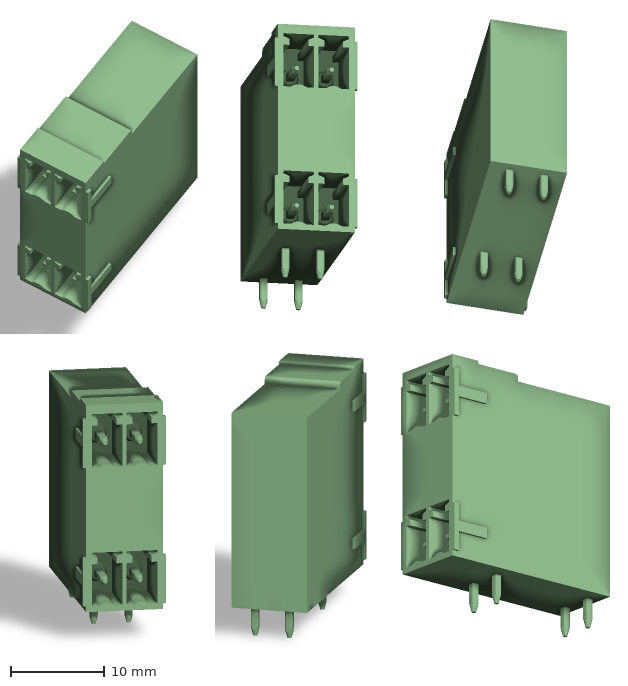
import cadquery as cq
import math


housing_width = 8.4
housing_depth = 21.9
housing_height = 22.75
front_step_length = 3.6
front_step_drop = 0.35
front_step_radius = 0.18
middle_step_end = 9.12
rear_drop = 1.17
middle_step_radius = 0.41

column_pitch = 3.8
row_pitch = 15.23
column_xs = [-column_pitch / 2, column_pitch / 2]
row_offsets = [0, row_pitch]

cavity_width = 3.35
cavity_bottom = 0.62
cavity_height = 5.88
cavity_depth = 6.22
neck_width = 2.05
tab_edge_drop = 0.3
tab_slope_drop = 0.6
tab_bottom_drop = 1.27
bump_width = 1.65
bump_height = 0.28

collar_base_radius = 1.11
collar_shoulder_radius = 0.8
collar_face_radius = 0.67
collar_taper_length = 0.9
collar_bevel_length = 0.08

rail_thickness = 0.3
rail_bar_bottom = cavity_bottom
rail_bar_height = 5.34
rail_bar_depth = 0.62
rail_arm_length = 4.53
rail_arm_drop = 1.97
rail_arm_height = 1.2

pin_side = 0.8
pin_edge_chamfer = 0.1
contact_rise = 2.38
contact_height = cavity_bottom + contact_rise
contact_tip_y = 1.11
tip_radius = 0.23
tip_taper_length = 0.62
leg_reach = 3.15
leg_ys = [8.0, 20.7]


def stepped_block():
    """Housing block whose top steps down twice towards the rear, with rounded steps."""
    middle_top = housing_height - front_step_drop
    diagonal = 1 - math.sqrt(0.5)
    front_nick = front_step_radius * diagonal
    middle_nick = middle_step_radius * diagonal
    profile = (
        cq.Workplane("YZ")
        .moveTo(0, 0)
        .lineTo(0, housing_height)
        .lineTo(front_step_length - front_step_radius, housing_height)
        .threePointArc(
            (front_step_length - front_nick, housing_height - front_nick),
            (front_step_length, housing_height - front_step_radius),
        )
        .lineTo(front_step_length, middle_top)
        .lineTo(middle_step_end - middle_step_radius, middle_top)
        .threePointArc(
            (middle_step_end - middle_nick, middle_top - middle_nick),
            (middle_step_end, middle_top - middle_step_radius),
        )
        .lineTo(middle_step_end, housing_height - rear_drop)
        .lineTo(housing_depth, housing_height - rear_drop)
        .lineTo(housing_depth, 0)
        .close()
    )
    return profile.extrude(housing_width / 2, both=True)


def side_rails(row_offset):
    """T-shaped rails that stand out from both sides of the housing at one row."""
    rail_width = housing_width + 2 * rail_thickness
    bar = cq.Workplane("XY").box(
        rail_width, rail_bar_depth, rail_bar_height, centered=(True, False, False)
    )
    arm = cq.Workplane("XY").box(
        rail_width, rail_arm_length, rail_arm_height, centered=(True, False, False)
    )
    arm_bottom = rail_bar_height - rail_arm_drop - rail_arm_height
    rails = bar.union(arm.translate((0, 0, arm_bottom)))
    return rails.translate((0, 0, rail_bar_bottom + row_offset))


def cavity():
    """Plug cavity with two coding tabs below its top and a rounded bump on its bottom."""
    half = cavity_width / 2
    neck = neck_width / 2
    bump = bump_width / 2
    top = cavity_height
    outline = (
        cq.Workplane("XZ")
        .moveTo(-half, 0)
        .lineTo(-bump, 0)
        .threePointArc((0, bump_height), (bump, 0))
        .lineTo(half, 0)
        .lineTo(half, top - tab_bottom_drop)
        .lineTo(neck, top - tab_bottom_drop)
        .lineTo(neck, top - tab_slope_drop)
        .lineTo(half, top - tab_edge_drop)
        .lineTo(half, top)
        .lineTo(-half, top)
        .lineTo(-half, top - tab_edge_drop)
        .lineTo(-neck, top - tab_slope_drop)
        .lineTo(-neck, top - tab_bottom_drop)
        .lineTo(-half, top - tab_bottom_drop)
        .close()
    )
    return outline.extrude(-cavity_depth)


def collar():
    """Tapered, bevelled round collar that points forward from the cavity floor."""
    shoulder_y = cavity_depth - collar_taper_length
    face_y = shoulder_y - collar_bevel_length
    return (
        cq.Workplane("XY")
        .moveTo(0, cavity_depth)
        .lineTo(collar_base_radius, cavity_depth)
        .lineTo(collar_shoulder_radius, shoulder_y)
        .lineTo(collar_face_radius, face_y)
        .lineTo(0, face_y)
        .close()
        .revolve(360, (0, 0, 0), (0, 1, 0))
    )


def tapered_bar(length, edge_chamfer=0):
    """Square bar that rises from a conical tip at the origin."""
    bar = cq.Workplane("XY").box(pin_side, pin_side, length, centered=(True, True, False))
    if edge_chamfer:
        bar = bar.edges("|Z").chamfer(edge_chamfer)
    taper = (pin_side / 2 - tip_radius) / tip_taper_length
    cone = cq.Solid.makeCone(tip_radius, tip_radius + taper * length, length)
    return bar.intersect(cq.Workplane(cone))


def pin(x, contact_z, leg_y):
    """Right-angle pin: a contact that points forward and a solder leg that points down."""
    contact = tapered_bar(leg_y + pin_side / 2 - contact_tip_y)
    contact = contact.rotate((0, 0, 0), (1, 0, 0), -90).translate((x, contact_tip_y, contact_z))
    leg = tapered_bar(contact_z + pin_side / 2 + leg_reach, pin_edge_chamfer)
    leg = leg.translate((x, leg_y, -leg_reach))
    return contact.union(leg)


def build_pins():
    """All pins: the lower row bends down at the front legs, the upper row at the rear legs."""
    pins = []
    for row_offset, leg_y in zip(row_offsets, leg_ys):
        for x in column_xs:
            pins.append(pin(x, contact_height + row_offset, leg_y))
    return pins


def build_housing(pins):
    """Housing with rails, cavities and collars, and a matching channel for every pin."""
    body = stepped_block()
    for row_offset in row_offsets:
        body = body.union(side_rails(row_offset))
        for x in column_xs:
            body = body.cut(cavity().translate((x, 0, cavity_bottom + row_offset)))
            body = body.union(collar().translate((x, 0, contact_height + row_offset)))
    for bent_pin in pins:
        body = body.cut(bent_pin)
    return body


contact_pins = build_pins()
housing = build_housing(contact_pins)

result = cq.Compound.makeCompound([housing.val(), *[bent_pin.val() for bent_pin in contact_pins]])